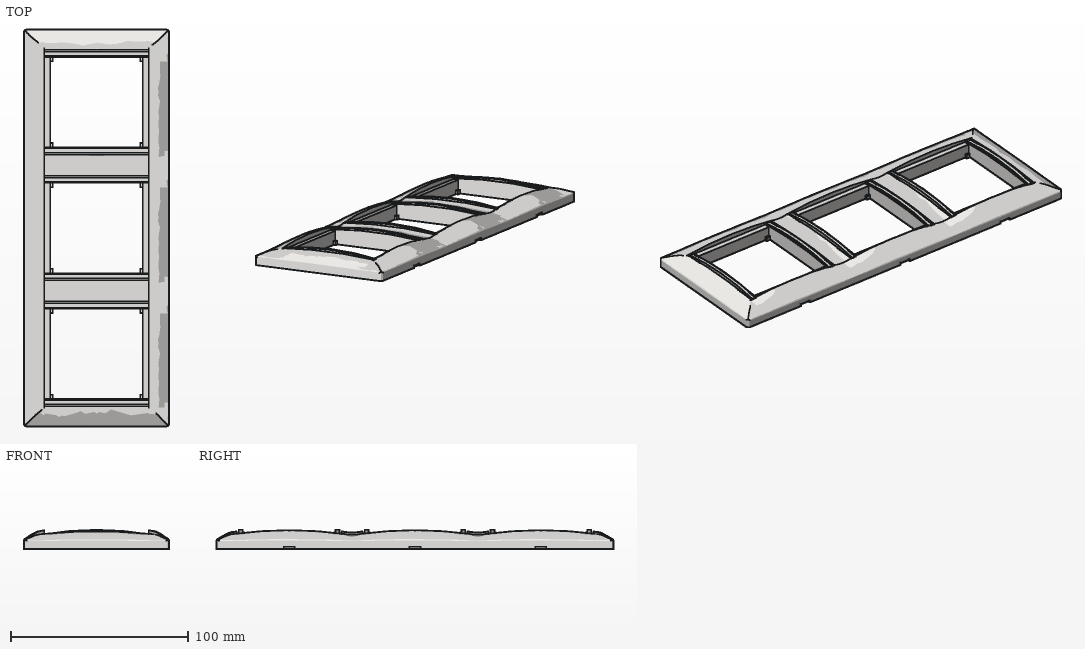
import cadquery as cq

LENGTH = 224.0
WIDTH = 82.0
HEIGHT = 11.0
CORNER_RADIUS = 1.8
CELL_COUNT = 3
CELL_PITCH = 71.0

SIDE_WALL_HEIGHT = 4.5
SHOULDER_POINTS = [(1.3, 6.3), (4.7, 8.5)]
SHOULDER_END_SLOPE = 0.1

RECESS_WIDTH = 58.7
RECESS_LENGTH = 59.1
OPENING_WIDTH = 52.0
OPENING_LENGTH = 50.8
SIDE_LEDGE_HEIGHT = 7.8

RAIL_CROWN = 10.8
CROSSBAR_CROWN = 10.0
CROWN_END = 8.7
VALLEY_WIDTH = 10.3
VALLEY_DEPTH = 0.7

LIP_END_HEIGHT = 8.5
LIP_GROOVE_WIDTH = 1.1
STEP_CROWN = 9.9
STEP_END_HEIGHT = 8.3
STEP_WIDTH = 0.7

POST_WIDTH = 1.3
POST_LENGTH = 2.5
POST_HEIGHT = 2.2
NOTCH_LENGTH = 6.3
NOTCH_HEIGHT = 1.3
NOTCH_DEPTH = 1.3

HALF_WIDTH = WIDTH / 2
HALF_LENGTH = LENGTH / 2
RECESS_HALF_WIDTH = RECESS_WIDTH / 2
CELL_CENTERS = [(i - (CELL_COUNT - 1) / 2) * CELL_PITCH for i in range(CELL_COUNT)]
CELL_HALF_LENGTH = (CELL_PITCH - VALLEY_WIDTH) / 2
SIDE_INSET = HALF_WIDTH - RECESS_HALF_WIDTH
END_INSET = HALF_LENGTH - CELL_CENTERS[-1] - CELL_HALF_LENGTH
JOINT_CENTERS = [(a + b) / 2 for a, b in zip(CELL_CENTERS, CELL_CENTERS[1:])]


def slab(width, length, height, y=0.0):
    """Rectangular block standing on z = 0, centred on x = 0 and on the given y."""
    return cq.Workplane("XY").box(width, length, height, centered=(True, True, False)).translate((0, y, 0))


def section(plane, position, half_span, inset, crown, valleys=()):
    """Closed cross-section: vertical walls, shoulders rising to a flat crown, optional concave valleys."""
    rise = (crown - SIDE_WALL_HEIGHT) / (RAIL_CROWN - SIDE_WALL_HEIGHT)
    shoulder = [(d, SIDE_WALL_HEIGHT + rise * (z - SIDE_WALL_HEIGHT)) for d, z in SHOULDER_POINTS]
    up = [(half_span - d, z) for d, z in shoulder] + [(half_span - inset, crown)]
    down = [(d - half_span, z) for d, z in reversed(shoulder)] + [(-half_span, SIDE_WALL_HEIGHT)]
    slope = SHOULDER_END_SLOPE

    outline = cq.Workplane(plane).moveTo(-half_span, 0).lineTo(half_span, 0)
    outline = outline.lineTo(half_span, SIDE_WALL_HEIGHT)
    outline = outline.spline(up, tangents=[(0, 1), (-1, slope)], includeCurrent=True)
    for valley in reversed(valleys):
        outline = outline.lineTo(valley + VALLEY_WIDTH / 2, crown)
        outline = outline.threePointArc((valley, crown - VALLEY_DEPTH), (valley - VALLEY_WIDTH / 2, crown))
    outline = outline.lineTo(inset - half_span, crown)
    outline = outline.spline(down, tangents=[(-1, -slope), (0, -1)], includeCurrent=True)
    shift = (0, position, 0) if plane == "XZ" else (position, 0, 0)
    return outline.close().wire().val().translate(cq.Vector(*shift))


def arched_loft(plane, center, half_depth, half_span, inset, heights, valleys=()):
    """Loft through three sections, so that the crown passes through the three heights."""
    positions = (center - half_depth, center, center + half_depth)
    wires = [section(plane, p, half_span, inset, h, valleys) for p, h in zip(positions, heights)]
    return cq.Workplane("XY").newObject([cq.Solid.makeLoft(wires)])


def long_sides():
    """Side rails: one arch beside each window, joined by shallow valleys."""
    spans = [(c, CELL_HALF_LENGTH, RAIL_CROWN) for c in CELL_CENTERS]
    spans += [(j, VALLEY_WIDTH / 2, CROWN_END - VALLEY_DEPTH) for j in JOINT_CENTERS]
    sides = cq.Workplane("XY")
    for center, half_depth, crown in spans:
        heights = (CROWN_END, crown, CROWN_END)
        sides = sides.union(arched_loft("XZ", center, half_depth, HALF_WIDTH, SIDE_INSET, heights))
    return sides.cut(slab(RECESS_WIDTH, LENGTH, HEIGHT))


def crossbars():
    """Bars between and beyond the windows, arched across the width."""
    heights = (CROWN_END, CROSSBAR_CROWN, CROWN_END)
    return arched_loft("YZ", 0, RECESS_HALF_WIDTH, HALF_LENGTH, END_INSET, heights, JOINT_CENTERS)


def corners():
    """Mitred corners where the side and end shoulders meet."""
    side_wire = section("XZ", -HALF_LENGTH, HALF_WIDTH, SIDE_INSET, CROWN_END)
    end_wire = section("YZ", -HALF_WIDTH, HALF_LENGTH, END_INSET, CROWN_END)
    along = cq.Workplane("XY").newObject([cq.Solid.extrudeLinear(side_wire, [], cq.Vector(0, LENGTH, 0))])
    across = cq.Workplane("XY").newObject([cq.Solid.extrudeLinear(end_wire, [], cq.Vector(WIDTH, 0, 0))])
    rounded = slab(WIDTH, LENGTH, HEIGHT).edges("|Z").fillet(CORNER_RADIUS)
    mitred = along.intersect(across).intersect(rounded)
    mitred = mitred.cut(slab(RECESS_WIDTH, LENGTH, HEIGHT))
    return mitred.cut(slab(WIDTH, 2 * (HALF_LENGTH - END_INSET), HEIGHT))


def arch_block(crown, end_height, length, y):
    """Block across the recess with an arched top, centred on the given y."""
    return (
        cq.Workplane("XZ")
        .moveTo(-RECESS_HALF_WIDTH, 0)
        .lineTo(-RECESS_HALF_WIDTH, end_height)
        .threePointArc((0, crown), (RECESS_HALF_WIDTH, end_height))
        .lineTo(RECESS_HALF_WIDTH, 0)
        .close()
        .extrude(length / 2, both=True)
        .translate((0, y, 0))
    )


def window_lips(y):
    """Arched lips at both cross edges of a window, each with a lower step on its inner side."""
    step_length = OPENING_LENGTH + 2 * STEP_WIDTH
    lips = arch_block(HEIGHT, LIP_END_HEIGHT, RECESS_LENGTH - 2 * LIP_GROOVE_WIDTH, y)
    lips = lips.cut(slab(RECESS_WIDTH, step_length, HEIGHT, y))
    steps = arch_block(STEP_CROWN, STEP_END_HEIGHT, step_length, y)
    return lips.union(steps.cut(slab(RECESS_WIDTH, OPENING_LENGTH, HEIGHT, y)))


def corner_posts(y):
    """Small blocks standing in the four corners of an opening."""
    posts = slab(OPENING_WIDTH, OPENING_LENGTH, POST_HEIGHT, y)
    posts = posts.cut(slab(OPENING_WIDTH - 2 * POST_WIDTH, OPENING_LENGTH, POST_HEIGHT, y))
    return posts.cut(slab(OPENING_WIDTH, OPENING_LENGTH - 2 * POST_LENGTH, POST_HEIGHT, y))


def pry_notches(y):
    """Shallow notches in the bottom edge of both long sides."""
    notches = slab(WIDTH, NOTCH_LENGTH, NOTCH_HEIGHT, y)
    return notches.cut(slab(WIDTH - 2 * NOTCH_DEPTH, NOTCH_LENGTH, NOTCH_HEIGHT, y))


frame = long_sides().union(crossbars()).union(corners())

for center in CELL_CENTERS:
    recess = slab(RECESS_WIDTH, RECESS_LENGTH, HEIGHT, center).translate((0, 0, SIDE_LEDGE_HEIGHT))
    frame = frame.cut(recess)
    frame = frame.union(window_lips(center))
    frame = frame.cut(slab(OPENING_WIDTH, OPENING_LENGTH, HEIGHT, center))
    frame = frame.union(corner_posts(center))
    frame = frame.cut(pry_notches(center))

result = frame